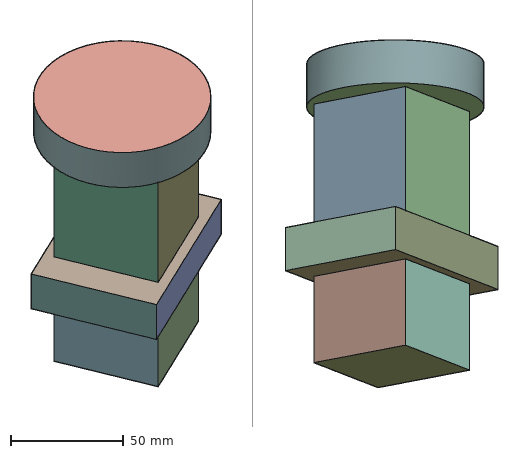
import cadquery as cq

total_height = 140.0
head_diameter = 79.2
head_height = 20.0
shaft_side = 50.0
flange_width = 60.0
flange_depth = 80.0
flange_height = 20.0
flange_base = 40.0
head_offset = 2.0

head_base = total_height - head_height

shaft = cq.Workplane("XY").rect(shaft_side, shaft_side).extrude(head_base)

flange = (
    cq.Workplane("XY")
    .workplane(offset=flange_base)
    .rect(flange_width, flange_depth)
    .extrude(flange_height)
)

head = (
    cq.Workplane("XY")
    .workplane(offset=head_base)
    .center(-head_offset, 0)
    .circle(head_diameter / 2)
    .extrude(head_height)
)

result = shaft.union(flange).union(head)